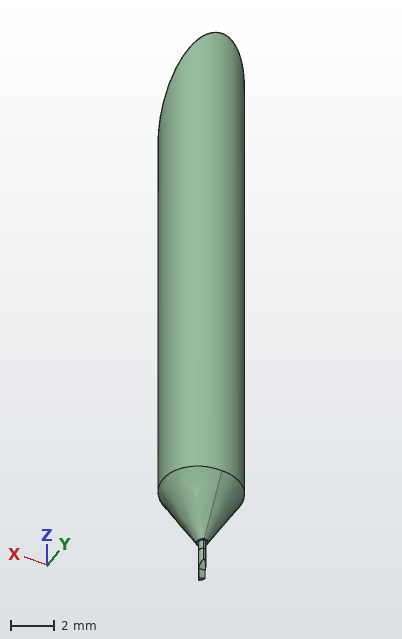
import cadquery as cq
import math

TOTAL_LENGTH = 30.7
SHANK_RADIUS = 2.0
BEVEL_ANGLE = 30.0
CONE_TOP_Z = 4.95
CONE_BOTTOM_Z = 2.12
CONE_END_RADIUS = 0.3
NECK_RADIUS = 0.2
SIDE_RELIEF = 0.1
TIP_LENGTH = 1.63
FLAT_Y = -0.015
FLAT_LENGTH = 0.55
RUNOUT_LENGTH = 0.43
END_RELIEF = 0.1

BEVEL_DROP = 2 * SHANK_RADIUS / math.tan(math.radians(BEVEL_ANGLE))

CONE_RISE_PER_RADIUS = (CONE_TOP_Z - CONE_BOTTOM_Z) / (SHANK_RADIUS - CONE_END_RADIUS)
CONE_BLANK_RADIUS = SHANK_RADIUS + 2 * SIDE_RELIEF
CONE_BLANK_TOP_Z = CONE_TOP_Z + 2 * SIDE_RELIEF * CONE_RISE_PER_RADIUS


def add_relieved_side(sketch, radius):
    """Draw the +X half of a section: a flatter arc from -Y to +Y, closed along the Y axis."""
    return (
        sketch.moveTo(0, -radius)
        .threePointArc((radius - SIDE_RELIEF, 0), (0, radius))
        .close()
    )


def relieved_frustum(bottom_z, bottom_radius, top_z, top_radius):
    """Frustum that is round on its -X half and relieved on its +X half."""
    round_half = (
        cq.Workplane("YZ")
        .polyline([(0, bottom_z), (-bottom_radius, bottom_z), (-top_radius, top_z), (0, top_z)])
        .close()
        .revolve(180, (0, 0.3), (0, 0))
    )
    bottom = add_relieved_side(cq.Workplane("XY").workplane(offset=bottom_z), bottom_radius)
    sections = add_relieved_side(bottom.workplane(offset=top_z - bottom_z), top_radius)
    return round_half.union(sections.loft(ruled=True))


def make_shank():
    """Round shank with a cone and a short neck, cut off at a slant on top."""
    cylinder = (
        cq.Workplane("XY")
        .workplane(offset=CONE_BLANK_TOP_Z)
        .circle(SHANK_RADIUS)
        .extrude(TOTAL_LENGTH - CONE_BLANK_TOP_Z)
    )
    envelope = cq.Workplane("XY").circle(SHANK_RADIUS).extrude(CONE_BLANK_TOP_Z)
    cone = relieved_frustum(CONE_BOTTOM_Z, CONE_END_RADIUS, CONE_BLANK_TOP_Z, CONE_BLANK_RADIUS)
    neck = relieved_frustum(TIP_LENGTH, NECK_RADIUS, CONE_BOTTOM_Z, NECK_RADIUS)
    wedge = (
        cq.Workplane("YZ")
        .moveTo(-SHANK_RADIUS, TOTAL_LENGTH - BEVEL_DROP)
        .lineTo(SHANK_RADIUS, TOTAL_LENGTH)
        .lineTo(-SHANK_RADIUS, TOTAL_LENGTH)
        .close()
        .extrude(SHANK_RADIUS, both=True)
    )
    return cylinder.union(cone.intersect(envelope)).union(neck).clean().cut(wedge)


def make_tip():
    """Cutting tip, halved by a flat on its +Y side that slopes out, with a slanted end."""
    rod = relieved_frustum(0, NECK_RADIUS, TIP_LENGTH, NECK_RADIUS)
    flat = (
        cq.Workplane("YZ")
        .moveTo(FLAT_Y, 0)
        .lineTo(FLAT_Y, FLAT_LENGTH)
        .lineTo(NECK_RADIUS, FLAT_LENGTH + RUNOUT_LENGTH)
        .lineTo(NECK_RADIUS, 0)
        .close()
        .extrude(NECK_RADIUS, both=True)
    )
    end_slant = (
        cq.Workplane("XZ")
        .moveTo(NECK_RADIUS - SIDE_RELIEF, 0)
        .lineTo(-NECK_RADIUS, END_RELIEF)
        .lineTo(-NECK_RADIUS, 0)
        .close()
        .extrude(NECK_RADIUS, both=True)
    )
    return rod.cut(flat).cut(end_slant)


shank = make_shank()
tip = make_tip()

result = cq.Compound.makeCompound([shank.solids().val(), tip.solids().val()])